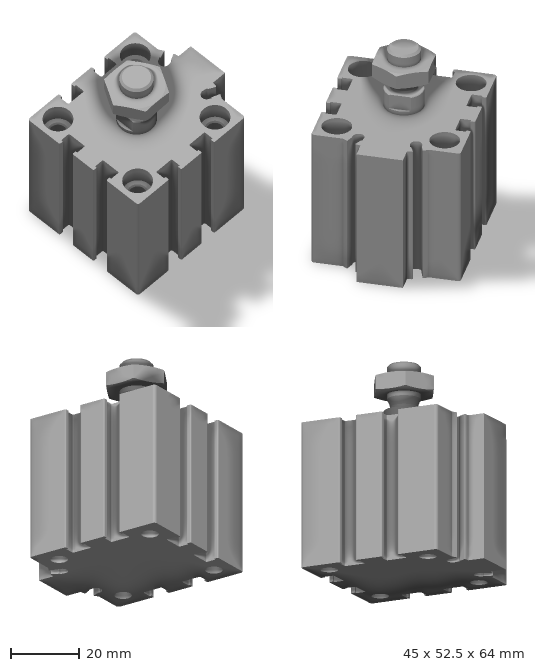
import cadquery as cq
import math

WIDTH = 45.0
HALF_WIDTH = WIDTH / 2
TOTAL_DEPTH = 52.5
HOUSING_HEIGHT = 44.0
CORNER_RADIUS = 0.9
TAB_WIDTH = 14.0
TAB_TOP_Y = TOTAL_DEPTH - HALF_WIDTH

SLOT_OFFSET = 6.9
SLOT_OPENING = 5.2
SLOT_INNER_WIDTH = 6.5
SLOT_DEPTH = 4.6
LIP_THICKNESS = 1.35
LIP_RADIUS = 0.4
SLOT_FLOOR_RADIUS = 0.4

OUTER_LIP_TIP = (-11.4, 23.4)
INNER_LIP_TIP = (-8.7, 24.45)

HOLE_SPACING = 32.5
HOLE_DIAMETER = 5.2
COUNTERBORE_DIAMETER = 9.0
COUNTERBORE_DEPTH = 5.7
HOLE_CHAMFER = 0.45

ROD_TOP_Z = 64
COLLAR_DIAMETER = 12.0
COLLAR_HEIGHT = 6.0
COLLAR_TOP_Z = HOUSING_HEIGHT + COLLAR_HEIGHT
COLLAR_CHAMFER = 0.2
FLATS_DISTANCE = 10.0
FLATS_HEIGHT = 4.7
NECK_DIAMETER = 8.2
NECK_FOOT_RADIUS = 0.5
NECK_TOP_Z = 51.25
THREAD_DIAMETER = 10.0
THREAD_BOTTOM_Z = 53.6
THREAD_CHAMFER = 0.7
FLARE_BULGE = 0.1

NUT_ACROSS_FLATS = 17.0
NUT_HEIGHT = 5.0
NUT_BOTTOM_Z = 55.05
NUT_CORNER_DROP = 0.4


def t_slot_cutter():
    """One T-slot opening towards -Y, with its mouth on the X axis."""
    mouth = SLOT_OPENING / 2
    inner = SLOT_INNER_WIDTH / 2
    outside = -0.65
    profile = (
        cq.Workplane("XY")
        .moveTo(-mouth - LIP_RADIUS, outside)
        .lineTo(-mouth - LIP_RADIUS, 0)
        .radiusArc((-mouth, LIP_RADIUS), -LIP_RADIUS)
        .lineTo(-mouth, LIP_THICKNESS)
        .lineTo(-inner, LIP_THICKNESS)
        .lineTo(-inner, SLOT_DEPTH)
        .lineTo(inner, SLOT_DEPTH)
        .lineTo(inner, LIP_THICKNESS)
        .lineTo(mouth, LIP_THICKNESS)
        .lineTo(mouth, LIP_RADIUS)
        .radiusArc((mouth + LIP_RADIUS, 0), -LIP_RADIUS)
        .lineTo(mouth + LIP_RADIUS, outside)
        .close()
    )
    return profile.extrude(HOUSING_HEIGHT).edges("|Z and >Y").fillet(SLOT_FLOOR_RADIUS)


def sensor_groove_cutter():
    """Slanted keyhole groove at the -X foot of the rail, with a round floor."""
    return (
        cq.Workplane("XY")
        .moveTo(*OUTER_LIP_TIP)
        .lineTo(-10.4, 20.85)
        .lineTo(-10.7, 20.55)
        .lineTo(-10.4, 20.1)
        .threePointArc((-8.65, 18.75), (-6.9, 20.55))
        .lineTo(-7.2, 22.1)
        .lineTo(-7.6, 22.35)
        .lineTo(*INNER_LIP_TIP)
        .close()
        .extrude(HOUSING_HEIGHT)
    )


def sensor_groove_lips():
    """Raised ground on both sides of the -X sensor groove."""
    outline = [
        (-13.0, HALF_WIDTH),
        OUTER_LIP_TIP,
        INNER_LIP_TIP,
        (-8.45, 24.7),
        (-TAB_WIDTH / 2, 24.9),
        (-TAB_WIDTH / 2, HALF_WIDTH),
    ]
    return cq.Workplane("XY").polyline(outline).close().extrude(HOUSING_HEIGHT)


def mounting_hole_cutter():
    """Counterbored through hole on the Z axis, chamfered at the counterbore floor."""
    counterbore_floor = HOUSING_HEIGHT - COUNTERBORE_DEPTH
    hole_radius = HOLE_DIAMETER / 2
    counterbore_radius = COUNTERBORE_DIAMETER / 2
    hole_profile = [
        (0, 0),
        (hole_radius, 0),
        (hole_radius, counterbore_floor - HOLE_CHAMFER),
        (hole_radius + HOLE_CHAMFER, counterbore_floor),
        (counterbore_radius, counterbore_floor),
        (counterbore_radius, HOUSING_HEIGHT),
        (0, HOUSING_HEIGHT),
    ]
    return cq.Workplane("XZ").polyline(hole_profile).close().revolve(360, (0, 0), (0, 1))


def make_housing():
    """Extruded profile with a rail, two sensor grooves, six T-slots and four mounting holes."""
    block = (
        cq.Workplane("XY")
        .rect(WIDTH, WIDTH)
        .extrude(HOUSING_HEIGHT)
        .edges("|Z")
        .fillet(CORNER_RADIUS)
    )
    tab = (
        cq.Workplane("XY")
        .center(0, TAB_TOP_Y / 2)
        .rect(TAB_WIDTH, TAB_TOP_Y)
        .extrude(HOUSING_HEIGHT)
    )
    housing = block.union(tab)

    lips = sensor_groove_lips()
    groove = sensor_groove_cutter()
    housing = housing.union(lips).union(lips.mirror("YZ"))
    housing = housing.cut(groove).cut(groove.mirror("YZ"))

    slot = t_slot_cutter()
    for side_angle in (-90, 0, 90):
        for offset in (-SLOT_OFFSET, SLOT_OFFSET):
            placed = slot.translate((offset, -HALF_WIDTH, 0))
            housing = housing.cut(placed.rotate((0, 0, 0), (0, 0, 1), side_angle))

    hole = mounting_hole_cutter()
    for x in (-HOLE_SPACING / 2, HOLE_SPACING / 2):
        for y in (-HOLE_SPACING / 2, HOLE_SPACING / 2):
            housing = housing.cut(hole.translate((x, y, 0)))
    return housing.solids()


def make_rod():
    """Turned rod end standing on the housing, with two wrench flats on the collar."""
    collar = COLLAR_DIAMETER / 2
    neck = NECK_DIAMETER / 2
    thread = THREAD_DIAMETER / 2
    flare_middle = ((neck + thread) / 2 - FLARE_BULGE, (NECK_TOP_Z + THREAD_BOTTOM_Z) / 2)
    rod = (
        cq.Workplane("XZ")
        .moveTo(0, HOUSING_HEIGHT)
        .lineTo(collar, HOUSING_HEIGHT)
        .lineTo(collar, COLLAR_TOP_Z - COLLAR_CHAMFER)
        .lineTo(collar - COLLAR_CHAMFER, COLLAR_TOP_Z)
        .lineTo(neck + NECK_FOOT_RADIUS, COLLAR_TOP_Z)
        .radiusArc((neck, COLLAR_TOP_Z + NECK_FOOT_RADIUS), NECK_FOOT_RADIUS)
        .lineTo(neck, NECK_TOP_Z)
        .threePointArc(flare_middle, (thread, THREAD_BOTTOM_Z))
        .lineTo(thread, ROD_TOP_Z - THREAD_CHAMFER)
        .lineTo(thread - THREAD_CHAMFER, ROD_TOP_Z)
        .lineTo(0, ROD_TOP_Z)
        .close()
        .revolve(360, (0, 0), (0, 1))
    )
    flats_bottom = COLLAR_TOP_Z - FLATS_HEIGHT
    for side in (-1, 1):
        cutter_y = side * (FLATS_DISTANCE + COLLAR_DIAMETER) / 2
        flat_cutter = (
            cq.Workplane("XY", origin=(0, cutter_y, flats_bottom))
            .rect(COLLAR_DIAMETER, COLLAR_DIAMETER)
            .extrude(FLATS_HEIGHT)
        )
        rod = rod.cut(flat_cutter)
    return rod.solids()


def make_nut():
    """Hexagon nut on the thread, its corners pointing along Y and chamfered at both ends."""
    across_corners = NUT_ACROSS_FLATS / math.cos(math.radians(30))
    hexagon = (
        cq.Workplane("XY")
        .polygon(6, across_corners)
        .extrude(NUT_HEIGHT)
        .rotate((0, 0, 0), (0, 0, 1), 30)
    )
    corner_cut = (across_corners - NUT_ACROSS_FLATS) / 2
    chamfered_disc = (
        cq.Workplane("XY")
        .circle(across_corners / 2)
        .extrude(NUT_HEIGHT)
        .faces("<Z or >Z")
        .edges()
        .chamfer(NUT_CORNER_DROP, corner_cut)
    )
    bore = cq.Workplane("XY").circle(THREAD_DIAMETER / 2).extrude(NUT_HEIGHT)
    nut = hexagon.intersect(chamfered_disc).cut(bore)
    return nut.translate((0, 0, NUT_BOTTOM_Z)).solids()


housing = make_housing()
rod = make_rod()
nut = make_nut()

result = cq.Compound.makeCompound([housing.val(), rod.val(), nut.val()])